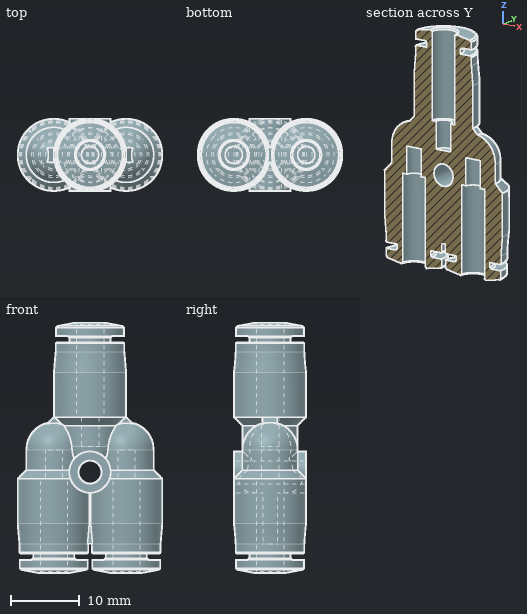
import cadquery as cq
import math

overall_height = 36.3
body_diameter = 10.5
body_radius = body_diameter / 2
port_offset = body_radius

neck_radius = 4.0
collar_radius = 5.0
collar_chamfer = 0.2
sleeve_radius = 3.0
sleeve_flare = 0.25
cap_radius = 9.9 / 2
cap_rim_chamfer = 0.25
bore_radius = 3.97 / 2
bore_lead_in = 0.24
channel_radius = 2.5 / 2

cap_dish_depth = 0.47
cap_depth = 1.93
collar_start = 2.8
taper_start = 4.24
taper_end = 7.2
shoulder_start = 13.69
shoulder_end = shoulder_start + body_radius - neck_radius
dome_center_depth = 17.9
bore_depth = shoulder_start

eye_diameter = 6.0
eye_hole_diameter = 3.3
eye_height = 14.64

web_thickness = 2.1
web_bottom = taper_start
web_top = overall_height - shoulder_start
web_half_width = port_offset + neck_radius / 2


def revolve_about_z(profile):
    return profile.close().revolve(360, (0, 0, 0), (0, 1, 0))


def port_body():
    """Stepped outside of one port, open end at Z = 0, domed end upward."""
    dome_mid = neck_radius * math.cos(math.pi / 4)
    profile = (
        cq.Workplane("XZ")
        .lineTo(bore_radius + bore_lead_in, 0)
        .lineTo(cap_radius - cap_rim_chamfer, cap_dish_depth)
        .lineTo(cap_radius, cap_dish_depth + cap_rim_chamfer)
        .lineTo(cap_radius, cap_depth)
        .lineTo(sleeve_radius + sleeve_flare, cap_depth)
        .lineTo(sleeve_radius, cap_depth + sleeve_flare)
        .lineTo(sleeve_radius, collar_start)
        .lineTo(collar_radius - collar_chamfer, collar_start)
        .lineTo(collar_radius, collar_start + collar_chamfer)
        .lineTo(collar_radius, taper_start)
        .lineTo(body_radius, taper_end)
        .lineTo(body_radius, shoulder_start)
        .lineTo(neck_radius, shoulder_end)
        .lineTo(neck_radius, dome_center_depth)
        .threePointArc(
            (dome_mid, dome_center_depth + dome_mid),
            (0, dome_center_depth + neck_radius),
        )
    )
    return revolve_about_z(profile)


def port_cavity():
    """Tube bore with a lead-in chamfer and a narrower blind channel behind it."""
    profile = (
        cq.Workplane("XZ")
        .lineTo(bore_radius + bore_lead_in, 0)
        .lineTo(bore_radius, bore_lead_in)
        .lineTo(bore_radius, bore_depth)
        .lineTo(channel_radius, bore_depth)
        .lineTo(channel_radius, dome_center_depth)
        .lineTo(0, dome_center_depth)
    )
    return revolve_about_z(profile)


def at_all_ports(shape):
    """Copies of a port shape: one at the top facing up, two at the bottom facing down."""
    top = shape.rotate((0, 0, 0), (1, 0, 0), 180).translate((0, 0, overall_height))
    left = shape.translate((-port_offset, 0, 0))
    right = shape.translate((port_offset, 0, 0))
    return [top, left, right]


def web():
    """Plate in the XZ plane whose 45 degree upper corners run into the lower domes."""
    corner_height = web_top - (web_half_width - body_radius)
    return (
        cq.Workplane("XZ")
        .moveTo(-web_half_width, web_bottom)
        .lineTo(web_half_width, web_bottom)
        .lineTo(web_half_width, corner_height)
        .lineTo(body_radius, web_top)
        .lineTo(-body_radius, web_top)
        .lineTo(-web_half_width, corner_height)
        .close()
        .extrude(web_thickness / 2, both=True)
    )


def eye_cylinder(diameter):
    return (
        cq.Workplane("XZ")
        .center(0, eye_height)
        .circle(diameter / 2)
        .extrude(body_radius, both=True)
    )


result = web().union(eye_cylinder(eye_diameter))
for body in at_all_ports(port_body()):
    result = result.union(body)
for cavity in at_all_ports(port_cavity()):
    result = result.cut(cavity)
result = result.cut(eye_cylinder(eye_hole_diameter))